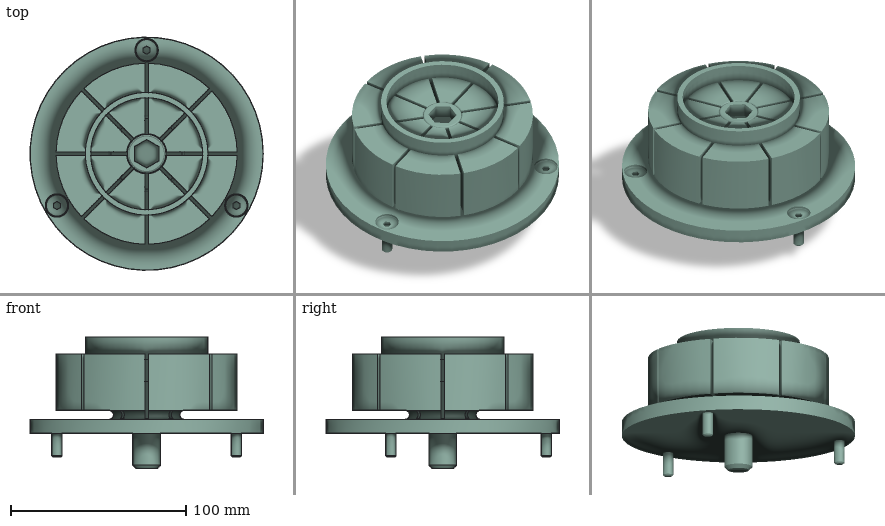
import cadquery as cq
import math


flange_diameter = 132.9
flange_thickness = 8.0
drum_diameter = 103.1
drum_height = 32.2
neck_height = 5.2
neck_diameter = 38.0
slot_count = 8
slot_width = 2.0
slot_floor_above_flange = 0.4

ring_outer_diameter = 69.9
ring_inner_diameter = 63.8
ring_exposed_height = 9.7
ring_groove_depth = 3.2

center_shank_diameter = 16.0
center_head_diameter = 22.0
center_head_height = 15.7
center_head_rounding = 0.9
center_socket_width = 14.0
center_socket_depth = 8.0
center_reach_below_flange = 20.0
center_tip_chamfer = 2.0
center_bore_chamfer = 0.4

flange_screw_count = 3
flange_screw_first_angle = 90.0
flange_screw_circle_radius = 59.0
flange_screw_shank_diameter = 6.0
flange_screw_head_diameter = 12.1
flange_screw_sink_depth = 1.7
flange_screw_socket_width = 4.0
flange_screw_socket_depth = 2.5
flange_screw_reach_below_flange = 13.4
flange_screw_tip_chamfer = 0.8
countersink_diameter = 13.3

drum_bottom = flange_thickness + neck_height
drum_top = drum_bottom + drum_height
groove_floor = drum_top - ring_groove_depth
slot_floor = flange_thickness + slot_floor_above_flange
center_head_bottom = drum_top - center_head_height
neck_radius = neck_diameter / 2
neck_groove_radius = neck_height / 2
neck_foot_radius = neck_radius + neck_groove_radius
flange_screw_top = flange_thickness - flange_screw_sink_depth
flange_screw_cone_bottom = flange_screw_top - (flange_screw_head_diameter - flange_screw_shank_diameter) / 2
countersink_cone_top = flange_screw_top + (countersink_diameter - flange_screw_head_diameter) / 2


def revolve_profile(profile):
    """Revolve a closed profile, drawn as (radius, height), around the Z axis."""
    return profile.close().revolve(360, (0, 0, 0), (0, 1, 0))


def hex_socket(width_across_flats, top, depth):
    """Hexagonal prism whose flats face +X and -X."""
    corner_diameter = width_across_flats / math.cos(math.radians(30))
    prism = cq.Workplane("XY").polygon(6, corner_diameter).extrude(depth)
    return prism.rotate((0, 0, 0), (0, 0, 1), 30).translate((0, 0, top - depth))


def ring_solid(bottom, top):
    """Plain tube with the cross-section of the retaining ring."""
    tube = cq.Workplane("XY").circle(ring_outer_diameter / 2).circle(ring_inner_diameter / 2)
    return tube.extrude(top - bottom).translate((0, 0, bottom))


def flange_screw_locations():
    """Positions of the flange screws, evenly spaced on their circle."""
    locations = []
    for index in range(flange_screw_count):
        angle = math.radians(flange_screw_first_angle + index * 360 / flange_screw_count)
        x = flange_screw_circle_radius * math.cos(angle)
        y = flange_screw_circle_radius * math.sin(angle)
        locations.append((x, y, 0))
    return locations


def hub_blank():
    """Turned flange, neck with a half-round groove, and drum."""
    return revolve_profile(
        cq.Workplane("XZ")
        .lineTo(flange_diameter / 2, 0)
        .lineTo(flange_diameter / 2, flange_thickness)
        .lineTo(neck_foot_radius, flange_thickness)
        .threePointArc(
            (neck_radius, flange_thickness + neck_groove_radius),
            (neck_foot_radius, drum_bottom),
        )
        .lineTo(drum_diameter / 2, drum_bottom)
        .lineTo(drum_diameter / 2, drum_top)
        .lineTo(0, drum_top)
    )


def center_bore():
    """Stepped hole for the central screw, chamfered at its mouth."""
    bore_radius = center_head_diameter / 2
    return revolve_profile(
        cq.Workplane("XZ")
        .lineTo(center_shank_diameter / 2, 0)
        .lineTo(center_shank_diameter / 2, center_head_bottom)
        .lineTo(bore_radius, center_head_bottom)
        .lineTo(bore_radius, drum_top - center_bore_chamfer)
        .lineTo(bore_radius + center_bore_chamfer, drum_top)
        .lineTo(0, drum_top)
    )


def drum_slots():
    """Radial slots that divide the drum and neck into equal segments."""
    slots = cq.Workplane("XY")
    slot_height = drum_top - slot_floor
    for index in range(slot_count // 2):
        slot = cq.Workplane("XY").box(flange_diameter, slot_width, slot_height, centered=(True, True, False))
        slot = slot.rotate((0, 0, 0), (0, 0, 1), index * 360 / slot_count)
        slots = slots.add(slot.translate((0, 0, slot_floor)))
    return slots.combine()


def flange_screw_hole():
    """Through hole with a 90 degree countersink and a short cylindrical mouth."""
    return revolve_profile(
        cq.Workplane("XZ")
        .lineTo(flange_screw_shank_diameter / 2, 0)
        .lineTo(flange_screw_shank_diameter / 2, flange_screw_cone_bottom)
        .lineTo(countersink_diameter / 2, countersink_cone_top)
        .lineTo(countersink_diameter / 2, flange_thickness)
        .lineTo(0, flange_thickness)
    )


def make_hub():
    hub = hub_blank().cut(center_bore()).cut(drum_slots())
    hub = hub.cut(ring_solid(groove_floor, drum_top))
    for location in flange_screw_locations():
        hub = hub.cut(flange_screw_hole().translate(location))
    return hub


def make_retaining_ring():
    return ring_solid(groove_floor, drum_top + ring_exposed_height)


def make_center_screw():
    """Cap screw with a rounded head, a hexagon socket and a chamfered tip."""
    shank_radius = center_shank_diameter / 2
    head_radius = center_head_diameter / 2
    tip = -center_reach_below_flange
    screw = revolve_profile(
        cq.Workplane("XZ")
        .moveTo(0, tip)
        .lineTo(shank_radius - center_tip_chamfer, tip)
        .lineTo(shank_radius, tip + center_tip_chamfer)
        .lineTo(shank_radius, center_head_bottom)
        .lineTo(head_radius, center_head_bottom)
        .lineTo(head_radius, drum_top - center_head_rounding)
        .radiusArc((head_radius - center_head_rounding, drum_top), -center_head_rounding)
        .lineTo(0, drum_top)
    )
    return screw.cut(hex_socket(center_socket_width, drum_top, center_socket_depth))


def make_flange_screw():
    """Countersunk screw with a hexagon socket, standing on the Z axis."""
    shank_radius = flange_screw_shank_diameter / 2
    tip = -flange_screw_reach_below_flange
    screw = revolve_profile(
        cq.Workplane("XZ")
        .moveTo(0, tip)
        .lineTo(shank_radius - flange_screw_tip_chamfer, tip)
        .lineTo(shank_radius, tip + flange_screw_tip_chamfer)
        .lineTo(shank_radius, flange_screw_cone_bottom)
        .lineTo(flange_screw_head_diameter / 2, flange_screw_top)
        .lineTo(0, flange_screw_top)
    )
    return screw.cut(hex_socket(flange_screw_socket_width, flange_screw_top, flange_screw_socket_depth))


hub = make_hub()
retaining_ring = make_retaining_ring()
center_screw = make_center_screw()
flange_screws = [make_flange_screw().translate(location) for location in flange_screw_locations()]

result = cq.Compound.makeCompound(
    [
        hub.solids().val(),
        retaining_ring.solids().val(),
        center_screw.solids().val(),
        *[screw.solids().val() for screw in flange_screws],
    ]
)